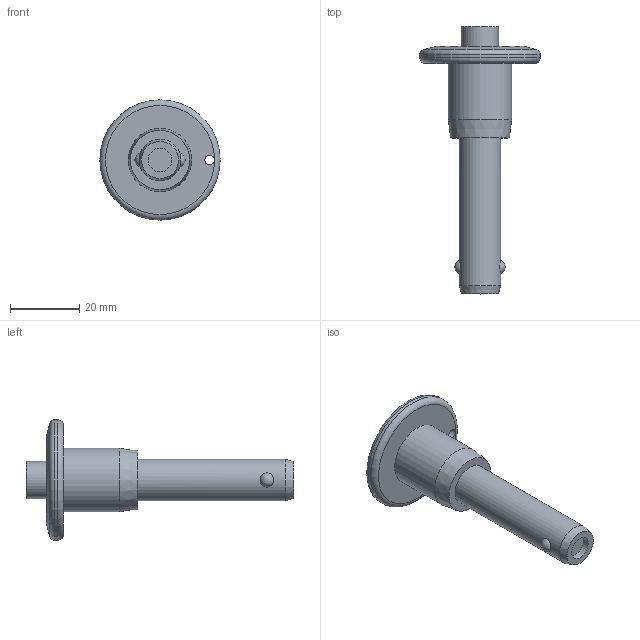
import cadquery as cq
import math


OVERALL_LENGTH = 77.3
SHANK_LENGTH = 45.0
SLEEVE_LENGTH = 21.5
FLANGE_THICKNESS = 4.9
SLEEVE_TAPER_LENGTH = 5.25
TIP_TAPER_LENGTH = 2.4

SHANK_DIAMETER = 12.0
TIP_DIAMETER = 10.7
SLEEVE_DIAMETER = 18.3
SLEEVE_END_DIAMETER = 17.0
FLANGE_DIAMETER = 34.7
BUTTON_DIAMETER = 10.7

FLANGE_FRONT_FILLET = 1.6
FLANGE_BACK_FILLET = 1.4
FLANGE_RIM_WIDTH = 1.0
FLANGE_BACK_TAPER_ANGLE = 15.0

BUTTON_EDGE_CHAMFER = 0.2

RECESS_DIAMETER = 6.76
RECESS_DEPTH = 2.0

BALL_DIAMETER = 4.2
BALL_SPAN = 14.5
BALL_FROM_TIP = 7.8

LANYARD_HOLE_DIAMETER = 2.8
LANYARD_HOLE_OFFSET = 14.3

TIP_Y = -SHANK_LENGTH
FLANGE_FRONT_Y = SLEEVE_LENGTH
FLANGE_BACK_Y = FLANGE_FRONT_Y + FLANGE_THICKNESS
BUTTON_END_Y = TIP_Y + OVERALL_LENGTH

AXIS_START = (0, 0)
AXIS_END = (0, 1)


def revolve_about_y(profile):
    return profile.close().revolve(axisStart=AXIS_START, axisEnd=AXIS_END)


def make_shank():
    shank = SHANK_DIAMETER / 2
    profile = (
        cq.Workplane("XY")
        .moveTo(0, TIP_Y)
        .lineTo(TIP_DIAMETER / 2, TIP_Y)
        .lineTo(shank, TIP_Y + TIP_TAPER_LENGTH)
        .lineTo(shank, FLANGE_FRONT_Y)
        .lineTo(0, FLANGE_FRONT_Y)
    )
    return revolve_about_y(profile)


def make_sleeve():
    sleeve = SLEEVE_DIAMETER / 2
    profile = (
        cq.Workplane("XY")
        .lineTo(SLEEVE_END_DIAMETER / 2, 0)
        .lineTo(sleeve, SLEEVE_TAPER_LENGTH)
        .lineTo(sleeve, FLANGE_BACK_Y)
        .lineTo(0, FLANGE_BACK_Y)
    )
    return revolve_about_y(profile)


def make_flange():
    """Disc with a rounded rim and a shallow cone blending the rim into the flat back face."""
    rim = FLANGE_DIAMETER / 2
    taper = math.radians(FLANGE_BACK_TAPER_ANGLE)
    rim_start_y = FLANGE_FRONT_Y + FLANGE_FRONT_FILLET
    rim_end_y = rim_start_y + FLANGE_RIM_WIDTH

    cone_start_x = rim - FLANGE_BACK_FILLET * (1 - math.sin(taper))
    cone_start_y = rim_end_y + FLANGE_BACK_FILLET * math.cos(taper)
    cone_end_x = cone_start_x - (FLANGE_BACK_Y - cone_start_y) / math.tan(taper)

    profile = (
        cq.Workplane("XY")
        .moveTo(0, FLANGE_FRONT_Y)
        .lineTo(rim - FLANGE_FRONT_FILLET, FLANGE_FRONT_Y)
        .radiusArc((rim, rim_start_y), -FLANGE_FRONT_FILLET)
        .lineTo(rim, rim_end_y)
        .radiusArc((cone_start_x, cone_start_y), -FLANGE_BACK_FILLET)
        .lineTo(cone_end_x, FLANGE_BACK_Y)
        .lineTo(0, FLANGE_BACK_Y)
    )
    return revolve_about_y(profile)


def make_button():
    edge = BUTTON_DIAMETER / 2
    profile = (
        cq.Workplane("XY")
        .moveTo(0, FLANGE_FRONT_Y)
        .lineTo(edge, FLANGE_FRONT_Y)
        .lineTo(edge, BUTTON_END_Y - BUTTON_EDGE_CHAMFER)
        .lineTo(edge - BUTTON_EDGE_CHAMFER, BUTTON_END_Y)
        .lineTo(0, BUTTON_END_Y)
    )
    return revolve_about_y(profile)


def make_ball(side):
    center_x = side * (BALL_SPAN - BALL_DIAMETER) / 2
    return cq.Workplane("XY").sphere(BALL_DIAMETER / 2).translate((center_x, TIP_Y + BALL_FROM_TIP, 0))


def cylinder_along_y(diameter, start_y, length, x=0):
    return cq.Workplane("XZ", origin=(x, start_y, 0)).circle(diameter / 2).extrude(-length)


result = make_shank().union(make_sleeve()).union(make_flange()).union(make_button())
for side in (-1, 1):
    result = result.union(make_ball(side))
result = result.cut(cylinder_along_y(RECESS_DIAMETER, TIP_Y, RECESS_DEPTH))
result = result.cut(
    cylinder_along_y(LANYARD_HOLE_DIAMETER, FLANGE_FRONT_Y, FLANGE_THICKNESS, LANYARD_HOLE_OFFSET)
)